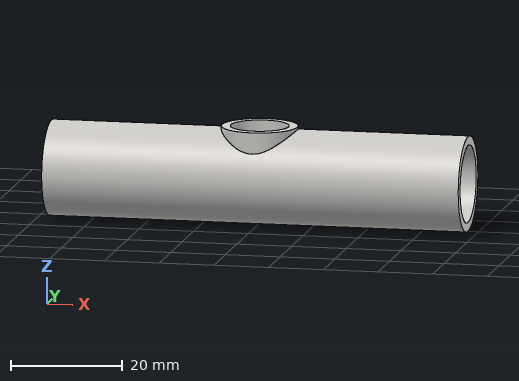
import cadquery as cq

tube_length = 76.2
tube_outer_diameter = 17.3
tube_bore_diameter = 14.0

collar_outer_diameter = 13.8
collar_bore_diameter = 10.5
overall_height = 17.75
collar_top = overall_height - tube_outer_diameter / 2


def tube_cylinder(diameter):
    """Full-length cylinder on the tube axis."""
    return cq.Workplane("YZ").circle(diameter / 2).extrude(tube_length / 2, both=True)


def collar_cylinder(diameter):
    """Cylinder from the tube axis up to the collar's top face."""
    return cq.Workplane("XY").circle(diameter / 2).extrude(collar_top)


outside = tube_cylinder(tube_outer_diameter).union(collar_cylinder(collar_outer_diameter))

result = outside.cut(tube_cylinder(tube_bore_diameter)).cut(collar_cylinder(collar_bore_diameter))